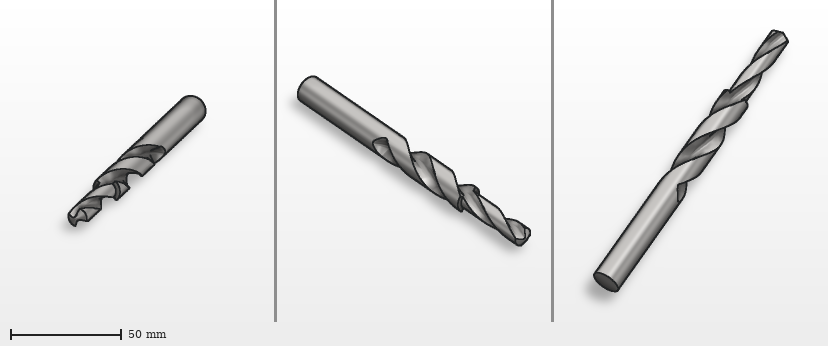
import cadquery as cq
import math

overall_length = 150.0
shank_diameter = 13.0
pilot_diameter = 9.0
pilot_length = 40.0
point_angle = 118.0

flute_count = 2
flute_pitch = 65.2
flute_length = 93.0
flute_start_angle = 135.0
flute_half_angle = 47.0
flute_root_radius = 2.0
wall_offset = 0.25
flute_overcut = 0.2

shank_radius = shank_diameter / 2
pilot_radius = pilot_diameter / 2
point_length = pilot_radius / math.tan(math.radians(point_angle / 2))

half_angle = math.radians(flute_half_angle)
apex_distance = wall_offset / math.sin(half_angle)
root_center = apex_distance + flute_root_radius / math.sin(half_angle)
root_bottom = root_center - flute_root_radius
tangent_distance = root_center - flute_root_radius * math.sin(half_angle)
tangent_half_width = flute_root_radius * math.cos(half_angle)
mouth_distance = shank_radius + flute_overcut
mouth_half_width = (mouth_distance - apex_distance) * math.tan(half_angle)
flute_twist = 360 * flute_length / flute_pitch


def stepped_blank():
    """Solid of revolution: conical point, pilot, shoulder and shank."""
    return (
        cq.Workplane("XY")
        .lineTo(pilot_radius, point_length)
        .lineTo(pilot_radius, pilot_length)
        .lineTo(shank_radius, pilot_length)
        .lineTo(shank_radius, overall_length)
        .lineTo(0, overall_length)
        .close()
        .revolve(360, (0, 0, 0), (0, 1, 0))
    )


def flute_section():
    """Rounded V section of a flute, opening along +X past the shank surface."""
    return (
        cq.Workplane("XY")
        .moveTo(mouth_distance, mouth_half_width)
        .lineTo(tangent_distance, tangent_half_width)
        .threePointArc((root_bottom, 0), (tangent_distance, -tangent_half_width))
        .lineTo(mouth_distance, -mouth_half_width)
        .close()
    )


def helical_flute():
    """Flute section twisted along +Z from the drill point."""
    return flute_section().twistExtrude(flute_length, flute_twist)


def flute_runout():
    """Flute section swung a quarter turn about its mouth line, rising out of the shank."""
    return (
        flute_section()
        .revolve(90, (mouth_distance, 0, 0), (mouth_distance, 1, 0))
        .rotate((0, 0, 0), (0, 0, 1), flute_twist)
        .translate((0, 0, flute_length))
    )


def place_on_drill(cutter, index):
    """Turn a cutter built along +Z onto the drill axis +Y at its place around the drill."""
    turn = index * 360 / flute_count - flute_start_angle
    return cutter.rotate((0, 0, 0), (0, 0, 1), turn).rotate((0, 0, 0), (1, 0, 0), -90)


drill = stepped_blank()
for flute_index in range(flute_count):
    drill = drill.cut(place_on_drill(helical_flute(), flute_index))
    drill = drill.cut(place_on_drill(flute_runout(), flute_index))

result = drill.solids()